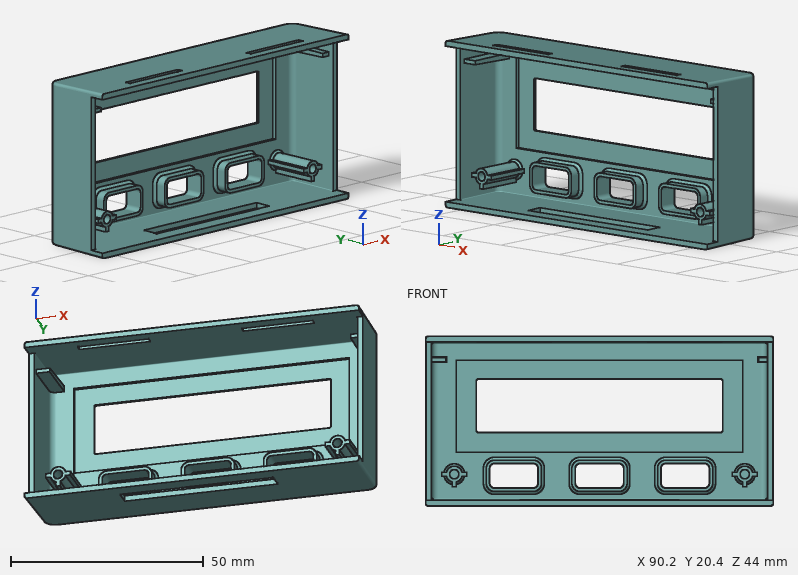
import cadquery as cq
import math

WIDTH = 90.17
DEPTH = 20.41
HEIGHT = 44.04
DRAFT = 1.0
CORNER_RADIUS = 3.0
EDGE_RADIUS = 0.7
SIDE_WALL = 1.45
TOP_WALL = 1.5
PANEL_THICKNESS = 1.6
INNER_EDGE_RADIUS = 0.2
INNER_CORNER_RADIUS = CORNER_RADIUS - SIDE_WALL
SIDE_WALL_SETBACK = 4.1

PANEL_INSIDE = DEPTH - PANEL_THICKNESS
OVERLAP = 0.3

RECESS_WIDTH = 74.2
RECESS_BOTTOM = -8.1
RECESS_TOP = 15.8
RECESS_DEPTH = 0.95
WINDOW_WIDTH = 63.8
WINDOW_BOTTOM = -2.94
WINDOW_TOP = 10.9
WINDOW_RADIUS = 0.5

BUTTON_PITCH = 22.2
BUTTON_Z = -14.17
BUTTON_WIDTH = 12.5
BUTTON_HEIGHT = 6.3
BUTTON_RADIUS = 1.2
COLLAR_WALL = 0.9
COLLAR_TIP = 15.2
COLLAR_CHAMFER = 0.75

BOSS_X = 37.65
BOSS_Z = -13.75
BOSS_DIAMETER = 4.2
BOSS_HOLE_DIAMETER = 2.4
BOSS_TIP = 5.7
BOSS_CHAMFER = 0.6
BOSS_RIB_REACH = 3.3
BOSS_RIB_THICKNESS = 1.1

GUIDE_Z = 15.96
GUIDE_THICKNESS = 1.5
GUIDE_TIP = BOSS_TIP
GUIDE_ROOT_X = WIDTH / 2 - SIDE_WALL + OVERLAP
LEFT_GUIDE_END = -39.65
RIGHT_GUIDE_END = 41.0

TOP_SLOT_LENGTH = 19.1
TOP_SLOT_X = 22.1
TOP_SLOT_START = 3.25
TOP_SLOT_WIDTH = 1.65
BOTTOM_SLOT_LENGTH = 41.2
BOTTOM_SLOT_START = 4.6
BOTTOM_SLOT_WIDTH = 4.65


def box(x_range, y_range, z_range):
    """Axis-aligned box given by its limits along each axis."""
    sizes = [high - low for low, high in (x_range, y_range, z_range)]
    corner = (x_range[0], y_range[0], z_range[0])
    return cq.Workplane("XY").box(*sizes, centered=False).translate(corner)


def centred(middle, size):
    return (middle - size / 2, middle + size / 2)


def drafted_block(width, height, depth):
    """Block from Y=0 to Y=depth whose four sides lean inward by the draft angle."""
    shrink = 2 * depth * math.tan(math.radians(DRAFT))
    return (
        cq.Workplane("XZ")
        .rect(width, height)
        .workplane(offset=-depth)
        .rect(width - shrink, height - shrink)
        .loft(ruled=True)
    )


def rounded_prism(width, height, radius, y_range, x, z):
    """Prism along Y with a rounded rectangular section centred at (x, z)."""
    block = box(centred(x, width), y_range, centred(z, height))
    return block.edges("|Y").fillet(radius)


def make_shell():
    outer = drafted_block(WIDTH, HEIGHT, DEPTH)
    back_corners = outer.faces(">Y").edges("|Z")
    outer = back_corners.fillet(CORNER_RADIUS)
    outer = outer.faces("<Z or >Z").edges("not <Y").fillet(EDGE_RADIUS)
    inner_width = WIDTH - 2 * SIDE_WALL
    inner_height = HEIGHT - 2 * TOP_WALL
    cavity = drafted_block(inner_width, inner_height, PANEL_INSIDE)
    cavity = cavity.faces(">Y").edges("|Z").fillet(INNER_CORNER_RADIUS)
    cavity = cavity.faces("<Z or >Z").edges("not <Y").fillet(INNER_EDGE_RADIUS)
    side_opening = drafted_block(2 * WIDTH, inner_height, SIDE_WALL_SETBACK)
    return outer.cut(cavity).cut(side_opening)


def make_window():
    window = rounded_prism(
        WINDOW_WIDTH,
        WINDOW_TOP - WINDOW_BOTTOM,
        WINDOW_RADIUS,
        (PANEL_INSIDE, DEPTH),
        0,
        (WINDOW_TOP + WINDOW_BOTTOM) / 2,
    )
    recess = box(
        centred(0, RECESS_WIDTH),
        (PANEL_INSIDE, PANEL_INSIDE + RECESS_DEPTH),
        (RECESS_BOTTOM, RECESS_TOP),
    )
    return window.union(recess)


def make_collar(x):
    """Button collar with a chamfered foot where it meets the panel."""
    width = BUTTON_WIDTH + 2 * COLLAR_WALL
    height = BUTTON_HEIGHT + 2 * COLLAR_WALL
    radius = BUTTON_RADIUS + COLLAR_WALL
    collar = rounded_prism(width, height, radius, (COLLAR_TIP, PANEL_INSIDE), x, BUTTON_Z)
    foot = rounded_prism(
        width + 2 * COLLAR_CHAMFER,
        height + 2 * COLLAR_CHAMFER,
        radius + COLLAR_CHAMFER,
        (PANEL_INSIDE - COLLAR_CHAMFER, PANEL_INSIDE + OVERLAP),
        x,
        BUTTON_Z,
    )
    foot = foot.faces("<Y").chamfer(COLLAR_CHAMFER)
    return collar.union(foot)


def make_button_hole(x):
    return rounded_prism(BUTTON_WIDTH, BUTTON_HEIGHT, BUTTON_RADIUS, (0, DEPTH), x, BUTTON_Z)


def make_boss(x):
    """Screw boss with a chamfered foot and ribs to the left, right and below."""
    radius = BOSS_DIAMETER / 2
    foot_radius = radius + BOSS_CHAMFER
    root = PANEL_INSIDE + OVERLAP
    profile = [
        (0, BOSS_TIP),
        (radius, BOSS_TIP),
        (radius, PANEL_INSIDE - BOSS_CHAMFER),
        (foot_radius, PANEL_INSIDE),
        (foot_radius, root),
        (0, root),
    ]
    post = cq.Workplane("XY").polyline(profile).close().revolve(360, (0, 0), (0, 1))
    cross_rib = box(centred(0, 2 * BOSS_RIB_REACH), (BOSS_TIP, root), centred(0, BOSS_RIB_THICKNESS))
    lower_rib = box(centred(0, BOSS_RIB_THICKNESS), (BOSS_TIP, root), (-BOSS_RIB_REACH, 0))
    hole = cq.Workplane("XZ").circle(BOSS_HOLE_DIAMETER / 2).extrude(-PANEL_INSIDE)
    return post.union(cross_rib).union(lower_rib).cut(hole).translate((x, 0, BOSS_Z))


def make_guide(x_range):
    """Rib along Y that thins toward its open end, with one end sunk in a side wall."""
    x_middle = sum(x_range) / 2
    root = PANEL_INSIDE + OVERLAP
    rib = drafted_block(x_range[1] - x_range[0], GUIDE_THICKNESS, root - GUIDE_TIP)
    return rib.rotate((0, 0, 0), (0, 0, 1), 180).translate((x_middle, root, GUIDE_Z))


def make_slots():
    top_y = (TOP_SLOT_START, TOP_SLOT_START + TOP_SLOT_WIDTH)
    bottom_y = (BOTTOM_SLOT_START, BOTTOM_SLOT_START + BOTTOM_SLOT_WIDTH)
    slots = box(centred(0, BOTTOM_SLOT_LENGTH), bottom_y, (-HEIGHT / 2, 0))
    for x in (-TOP_SLOT_X, TOP_SLOT_X):
        slots = slots.union(box(centred(x, TOP_SLOT_LENGTH), top_y, (0, HEIGHT / 2)))
    return slots


result = make_shell().cut(make_window()).cut(make_slots())
for guide_range in ((-GUIDE_ROOT_X, LEFT_GUIDE_END), (RIGHT_GUIDE_END, GUIDE_ROOT_X)):
    result = result.union(make_guide(guide_range))
for button_x in (-BUTTON_PITCH, 0, BUTTON_PITCH):
    result = result.union(make_collar(button_x)).cut(make_button_hole(button_x))
for boss_x in (-BOSS_X, BOSS_X):
    result = result.union(make_boss(boss_x))